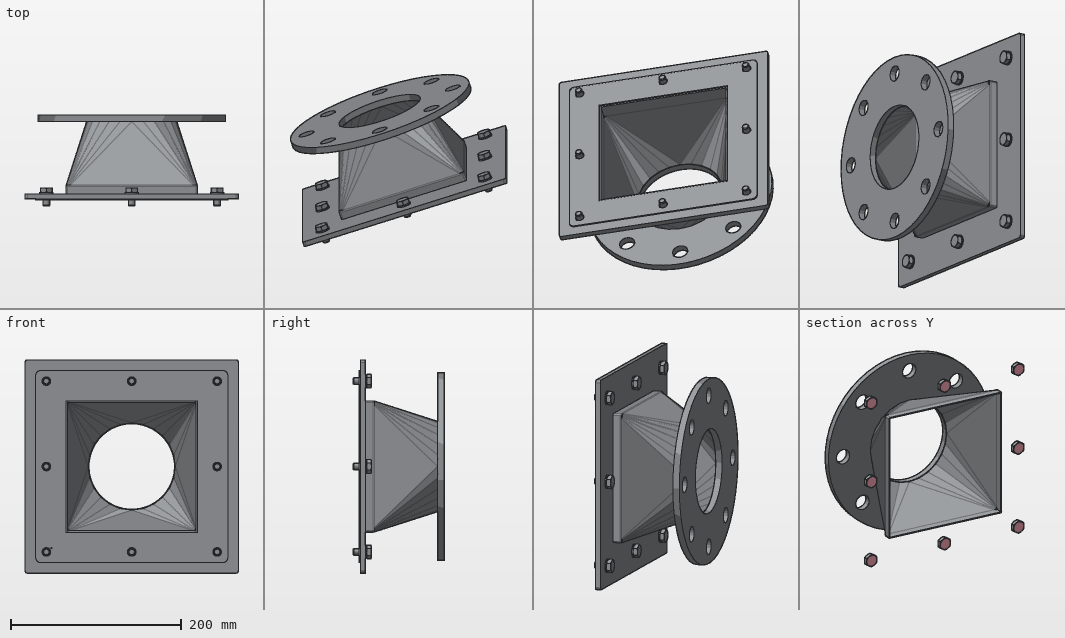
import cadquery as cq
import math

plate_side = 250.0
plate_thickness = 6.0
plate_corner_radius = 3.0
gasket_side = 225.0
gasket_thickness = 1.5
gasket_corner_radius = 6.0

sheet = 2.0
duct_inner_side = 150.0
duct_outer_side = duct_inner_side + 2 * sheet
collar_corner_radius = 2.0
transition_corner_radius = 5.0
collar_length = 8.8
fold_length = 1.8
fold_slope = 9.0
segments_per_quarter = 6
mouth_inner_radius = 51.0
mouth_outer_radius = mouth_inner_radius + sheet

flange_diameter = 220.0
flange_thickness = 8.0
flange_bore = 100.0
flange_hole_count = 8
flange_hole_diameter = 18.0
flange_hole_circle = 180.0

bolt_pitch = 100.0
bolt_diameter = 8.0
bolt_hole_diameter = 10.0
bolt_tip_diameter = 6.5
bolt_tip_length = 1.2
bolt_protrusion = 7.0
head_across_flats = 14.0
head_height = 5.5
head_face_diameter = 14.0
head_chamfer_height = 0.8
washer_diameter = 16.0
washer_thickness = 1.5

plate_front = gasket_thickness
plate_back = plate_front + plate_thickness
collar_end = plate_back + collar_length
fold_end = collar_end + fold_length
overall_depth = 100.0
flange_front = overall_depth - flange_thickness

bolt_positions = [
    (column * bolt_pitch, row * bolt_pitch)
    for column in (-1, 0, 1)
    for row in (-1, 0, 1)
    if column or row
]


def square_block(side, y_start, y_end, corner_radius=0.0):
    """Square block centred on the Y axis, with optional rounded corners."""
    depth = y_end - y_start
    block = cq.Workplane("XY").box(side, depth, side).translate((0, y_start + depth / 2, 0))
    return block.edges("|Y").fillet(corner_radius) if corner_radius else block


def disc(diameter, y_start, y_end, x=0.0, z=0.0):
    """Cylinder along Y between two stations."""
    centre = cq.Vector(x, y_start, z)
    solid = cq.Solid.makeCylinder(diameter / 2, y_end - y_start, centre, cq.Vector(0, 1, 0))
    return cq.Workplane(obj=solid)


def revolved(profile):
    """Solid of revolution about the Y axis from (radius, y) points."""
    return cq.Workplane("XY").polyline(profile).close().revolve(360, (0, 0, 0), (0, 1, 0))


def planar_face(points):
    return cq.Face.makeFromWires(cq.Wire.makePolygon(points, close=True))


def folded_transition(half_side, corner_radius, mouth_radius):
    """Solid frustum of flat facets from a square with bent corners to a regular polygon.

    Each corner fans out to a quarter of the polygon and each straight side
    closes to a single polygon vertex.
    """
    base_outline = []
    mouth_outline = []
    facets = []
    arc_centre = half_side - corner_radius
    for quarter in range(4):
        corner_angle = math.radians(45 + 90 * quarter)
        centre_x = arc_centre * math.sqrt(2) * math.cos(corner_angle)
        centre_z = arc_centre * math.sqrt(2) * math.sin(corner_angle)
        bottom = []
        top = []
        for step in range(segments_per_quarter + 1):
            angle = math.radians(90 * quarter + 90 * step / segments_per_quarter)
            cos_a = math.cos(angle)
            sin_a = math.sin(angle)
            bottom.append(
                cq.Vector(centre_x + corner_radius * cos_a, fold_end, centre_z + corner_radius * sin_a)
            )
            top.append(cq.Vector(mouth_radius * cos_a, flange_front, mouth_radius * sin_a))
        for i in range(segments_per_quarter):
            facets.append(planar_face([bottom[i], bottom[i + 1], top[i + 1], top[i]]))
        if base_outline:
            facets.append(planar_face([base_outline[-1], bottom[0], top[0]]))
        base_outline += bottom
        mouth_outline += top[:-1]
    facets.append(planar_face([base_outline[-1], base_outline[0], mouth_outline[0]]))
    facets.append(planar_face(base_outline))
    facets.append(planar_face(mouth_outline))
    return cq.Workplane(obj=cq.Solid.makeSolid(cq.Shell.makeShell(facets)))


def make_plate():
    plate = square_block(plate_side, plate_front, plate_back, plate_corner_radius)
    plate = plate.cut(square_block(duct_inner_side, plate_front, plate_back))
    gasket = square_block(gasket_side, 0, plate_front, gasket_corner_radius)
    gasket = gasket.cut(square_block(duct_outer_side, 0, plate_front))
    plate = plate.union(gasket)
    for x, z in bolt_positions:
        plate = plate.cut(disc(bolt_hole_diameter, 0, plate_back, x, z))
    return plate


def make_duct():
    collar = square_block(duct_outer_side, plate_back, collar_end, collar_corner_radius)
    end_face = collar.faces(">Y").val()
    fold = cq.Solid.extrudeLinear(end_face, cq.Vector(0, fold_length, 0), fold_slope)
    collar = collar.union(cq.Workplane(obj=fold)).cut(square_block(duct_inner_side, plate_back, fold_end))
    fold_inset = fold_length * math.tan(math.radians(fold_slope))
    outside = folded_transition(
        duct_outer_side / 2 - fold_inset, transition_corner_radius, mouth_outer_radius
    )
    inside = folded_transition(
        duct_inner_side / 2, transition_corner_radius - sheet, mouth_inner_radius
    )
    return collar.union(outside.cut(inside))


def make_flange():
    flange = disc(flange_diameter, flange_front, overall_depth)
    flange = flange.cut(disc(flange_bore, flange_front, overall_depth))
    for i in range(flange_hole_count):
        angle = 2 * math.pi * i / flange_hole_count
        x = flange_hole_circle / 2 * math.cos(angle)
        z = flange_hole_circle / 2 * math.sin(angle)
        flange = flange.cut(disc(flange_hole_diameter, flange_front, overall_depth, x, z))
    return flange


def make_bolt():
    """Bolt on the Y axis: washer and hexagon head behind the plate, tip in front."""
    head_start = plate_back + washer_thickness
    head_end = head_start + head_height
    tip = -bolt_protrusion
    shank = revolved([
        (0, tip),
        (bolt_tip_diameter / 2, tip),
        (bolt_diameter / 2, tip + bolt_tip_length),
        (bolt_diameter / 2, head_start),
        (0, head_start),
    ])
    washer = disc(washer_diameter, plate_back, head_start)
    across_corners = head_across_flats * 2 / math.sqrt(3)
    head = (
        cq.Workplane("XZ", origin=(0, head_start, 0))
        .transformed(rotate=(0, 0, 90))
        .polygon(6, across_corners)
        .extrude(-head_height)
    )
    face_radius = head_face_diameter / 2
    corner_radius = across_corners / 2
    envelope = revolved([
        (0, head_start),
        (face_radius, head_start),
        (corner_radius, head_start + head_chamfer_height),
        (corner_radius, head_end - head_chamfer_height),
        (face_radius, head_end),
        (0, head_end),
    ])
    return shank.union(washer).union(head.intersect(envelope))


result = make_plate().union(make_duct()).union(make_flange())

bolt = make_bolt()
for x, z in bolt_positions:
    result = result.union(bolt.translate((x, 0, z)))